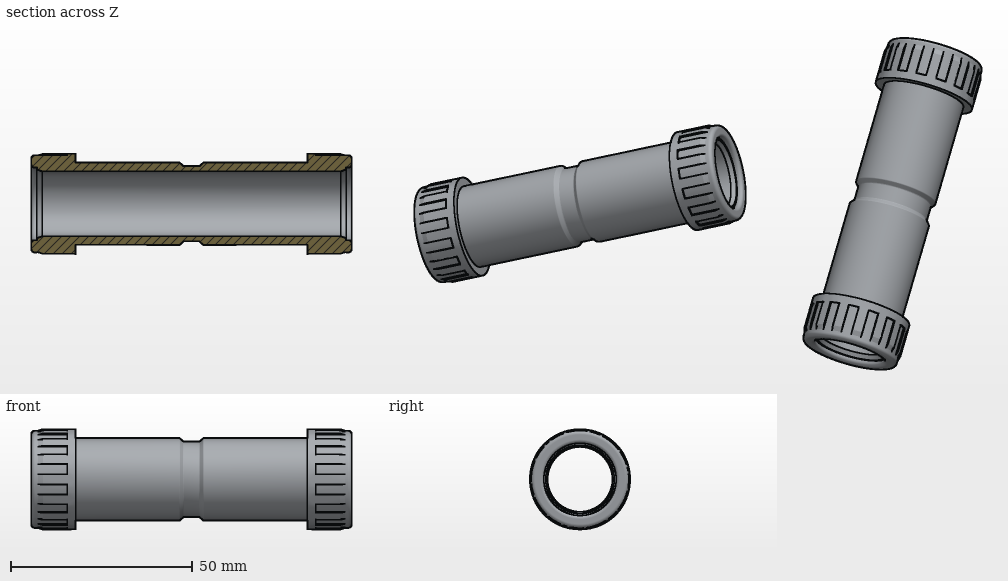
import cadquery as cq

LENGTH = 88.5
HALF_LENGTH = LENGTH / 2

TUBE_RADIUS = 11.4
BORE_RADIUS = 8.9

GROOVE_RADIUS = 10.4
GROOVE_FLOOR_HALF_WIDTH = 2.2
GROOVE_MOUTH_HALF_WIDTH = 3.3
GROOVE_FILLET = 0.35

COLLAR_RADIUS = 13.85
COLLAR_LENGTH = 12.3
SLOT_DEPTH = 0.4
SLOT_FLOOR_RADIUS = COLLAR_RADIUS - SLOT_DEPTH
OUTER_LIP_FILLET = 1.1
INNER_LIP_FILLET = 1.0
MOUTH_RADIUS = 10.0
MOUTH_DEPTH = 1.6
SEAT_RADIUS = 9.5
SEAT_TAPER_LENGTH = 1.4

SLOT_COUNT = 15
SLOT_PITCH = 360 / SLOT_COUNT
SLOT_ANGLE = SLOT_PITCH / 2
SLOT_END = 9.9
RIB_START = 1.95
RIB_FULL_HEIGHT = 3.3


def revolve_profile(profile, angle=360):
    """Turn an open (x, radius) profile, once closed, about the X axis."""
    return profile.close().revolve(angle, (0, 0, 0), (1, 0, 0))


def make_tube():
    """Solid tube with a sloped-sided groove, all its edges rounded, at mid length."""
    tube = cq.Workplane("YZ").circle(TUBE_RADIUS).extrude(HALF_LENGTH - COLLAR_LENGTH / 2, both=True)
    groove = revolve_profile(
        cq.Workplane("XZ")
        .moveTo(-GROOVE_MOUTH_HALF_WIDTH, TUBE_RADIUS)
        .lineTo(-GROOVE_FLOOR_HALF_WIDTH, GROOVE_RADIUS)
        .lineTo(GROOVE_FLOOR_HALF_WIDTH, GROOVE_RADIUS)
        .lineTo(GROOVE_MOUTH_HALF_WIDTH, TUBE_RADIUS)
        .lineTo(GROOVE_MOUTH_HALF_WIDTH, COLLAR_RADIUS)
        .lineTo(-GROOVE_MOUTH_HALF_WIDTH, COLLAR_RADIUS)
    )
    groove_region = cq.selectors.BoxSelector(
        (-HALF_LENGTH / 2, -COLLAR_RADIUS, -COLLAR_RADIUS),
        (HALF_LENGTH / 2, COLLAR_RADIUS, COLLAR_RADIUS),
    )
    return tube.cut(groove).edges("%CIRCLE").edges(groove_region).fillet(GROOVE_FILLET)


def make_collar_blank():
    """Left collar before slotting: rounded lip, ramp up to full radius, square inner end."""
    return revolve_profile(
        cq.Workplane("XZ")
        .moveTo(-HALF_LENGTH, 0)
        .lineTo(-HALF_LENGTH, SLOT_FLOOR_RADIUS - OUTER_LIP_FILLET)
        .radiusArc((-HALF_LENGTH + OUTER_LIP_FILLET, SLOT_FLOOR_RADIUS), OUTER_LIP_FILLET)
        .lineTo(-HALF_LENGTH + RIB_START, SLOT_FLOOR_RADIUS)
        .lineTo(-HALF_LENGTH + RIB_FULL_HEIGHT, COLLAR_RADIUS)
        .lineTo(-HALF_LENGTH + COLLAR_LENGTH, COLLAR_RADIUS)
        .lineTo(-HALF_LENGTH + COLLAR_LENGTH, 0)
    )


def make_slot():
    """Cutter for one slot between two ribs, reaching from +Z toward -Y."""
    return revolve_profile(
        cq.Workplane("XZ")
        .moveTo(-HALF_LENGTH + RIB_START, SLOT_FLOOR_RADIUS)
        .lineTo(-HALF_LENGTH + SLOT_END, SLOT_FLOOR_RADIUS)
        .lineTo(-HALF_LENGTH + SLOT_END, COLLAR_RADIUS + SLOT_DEPTH)
        .lineTo(-HALF_LENGTH + RIB_START, COLLAR_RADIUS + SLOT_DEPTH),
        SLOT_ANGLE,
    )


def make_collar():
    """Left collar with its ring of slots, which leaves a rib centred on -Y."""
    collar = make_collar_blank()
    slot = make_slot()
    for index in range(SLOT_COUNT):
        collar = collar.cut(slot.rotate((0, 0, 0), (1, 0, 0), index * SLOT_PITCH))
    return collar


def make_mouth():
    """Cutter for the left bore mouth: rounded lip, counterbore and tapered seat."""
    return revolve_profile(
        cq.Workplane("XZ")
        .moveTo(-HALF_LENGTH, 0)
        .lineTo(-HALF_LENGTH, MOUTH_RADIUS + INNER_LIP_FILLET)
        .radiusArc((-HALF_LENGTH + INNER_LIP_FILLET, MOUTH_RADIUS), -INNER_LIP_FILLET)
        .lineTo(-HALF_LENGTH + MOUTH_DEPTH, MOUTH_RADIUS)
        .lineTo(-HALF_LENGTH + MOUTH_DEPTH, SEAT_RADIUS)
        .lineTo(-HALF_LENGTH + MOUTH_DEPTH + SEAT_TAPER_LENGTH, BORE_RADIUS)
        .lineTo(-HALF_LENGTH + MOUTH_DEPTH + SEAT_TAPER_LENGTH, 0)
    )


collar = make_collar()
mouth = make_mouth()
bore = cq.Workplane("YZ").circle(BORE_RADIUS).extrude(HALF_LENGTH, both=True)

result = (
    make_tube()
    .union(collar)
    .union(collar.mirror("YZ"))
    .cut(bore)
    .cut(mouth)
    .cut(mouth.mirror("YZ"))
)